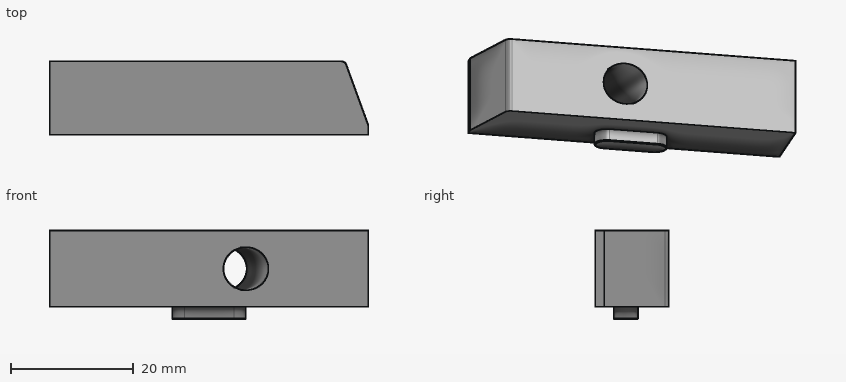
import cadquery as cq
import math

block_length = 52.0
block_width = 12.0
block_height = 12.5
slant_angle = 20.0
end_flat = 1.5
corner_radius = 1.0
slant_run = (block_width - end_flat) * math.tan(math.radians(slant_angle))

hole_diameter = 7.0
hole_angle = 16.5
hole_x = 32.05
hole_z = block_height / 2

key_length = 12.0
key_width = 4.0
key_height = 2.05
key_x = block_length / 2
key_y = 5.0
key_chamfer = 0.15


def make_block():
    outline = [
        (0, 0),
        (block_length, 0),
        (block_length, end_flat),
        (block_length - slant_run, block_width),
        (0, block_width),
    ]
    bar = cq.Workplane("XY").polyline(outline).close().extrude(block_height)
    slant_corner = cq.selectors.NearestToPointSelector(
        (block_length - slant_run, block_width, block_height / 2)
    )
    return bar.edges("|Z").edges(slant_corner).fillet(corner_radius).cut(make_hole_cutter())


def make_hole_cutter():
    angle = math.radians(hole_angle)
    axis = cq.Vector(-math.sin(angle), math.cos(angle), 0)
    overshoot = block_width
    start = cq.Vector(hole_x, 0, hole_z) - axis * overshoot
    cutter_length = block_width / math.cos(angle) + 2 * overshoot
    return cq.Solid.makeCylinder(hole_diameter / 2, cutter_length, start, axis)


def make_key():
    return (
        cq.Workplane("XY")
        .center(key_x, key_y)
        .slot2D(key_length, key_width)
        .extrude(-key_height)
        .faces("<Z")
        .chamfer(key_chamfer)
    )


block = make_block()
key = make_key()
result = cq.Compound.makeCompound([block.val(), key.val()])